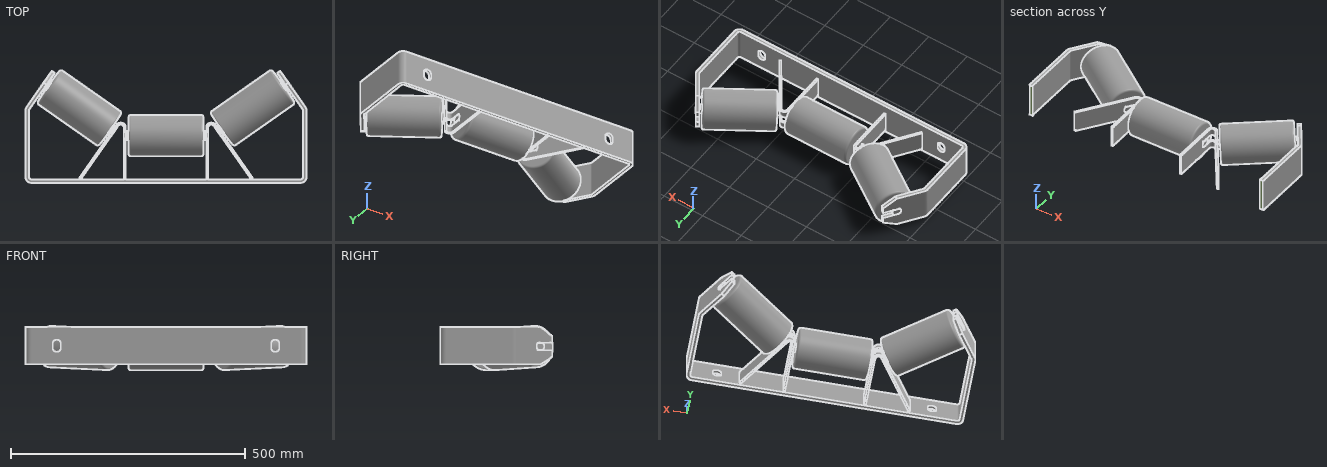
import cadquery as cq
import math

frame_width = 600.0
bar_height = 80.0
bar_thickness = 8.0
bar_bend_radius = 13.0
side_straight_end = 154.5
lean_length = 94.5
tip_chamfer_along = 31.0
tip_flat_height = 45.0

mount_slot_spacing = 466.0
mount_slot_width = 18.0
mount_slot_length = 26.0

strip_thickness = 4.5
strip_height = 50.0
strip_bend_radius = 11.0
fold_centre_y = 118.1
weld_bite = 0.3

trough_angle = 35.0
toe_angle = 2.25
roller_diameter = 89.0
roller_length = 160.0
roller_edge_radius = 5.0
shaft_diameter = 20.0
shaft_flat_width = 14.0
shoulder_gap = 1.3
centre_shaft_overhang = 0.5
face_distance = 85.5
centre_roller_y = 101.0
centre_roller_z = -8.2
side_roller_y = 160.31
side_roller_z = -4.83

shaft_slot_width = 16.0
slot_reach = 60.0
slot_margin = 1.0

lean_sin = math.sin(math.radians(trough_angle))
lean_cos = math.cos(math.radians(trough_angle))
half_width = frame_width / 2

fold_x = face_distance + strip_bend_radius
leg_offset = fold_x * lean_cos + fold_centre_y * lean_sin + strip_bend_radius
side_roller_x = (leg_offset + face_distance - side_roller_y * lean_sin) / lean_cos


def mirrored_pair(right):
    """The right-hand shape joined to its mirror image across the YZ plane."""
    return right.union(right.mirror("YZ"))


def placed(shape, side):
    """Move a roller-aligned shape to the side roller on side -1 (left) or +1 (right)."""
    return (
        shape.rotate((0, 0, 0), (0, 1, 0), -side * toe_angle)
        .rotate((0, 0, 0), (0, 0, 1), side * trough_angle)
        .translate((side * side_roller_x, side_roller_y, side_roller_z))
    )


def at_centre(shape):
    """Move a roller-aligned shape to the centre roller."""
    return shape.translate((0, centre_roller_y, centre_roller_z))


def roller():
    """Roller about the X axis with a shaft whose ends are flattened to enter the slots."""
    shoulder = face_distance - shoulder_gap
    shell = (
        cq.Workplane("YZ")
        .workplane(offset=-roller_length / 2)
        .circle(roller_diameter / 2)
        .extrude(roller_length)
        .edges()
        .fillet(roller_edge_radius)
    )
    shaft = cq.Workplane("YZ").workplane(offset=-shoulder).circle(shaft_diameter / 2).extrude(2 * shoulder)
    return shell.union(shaft)


def shaft_tongue(side, length):
    """Flattened shaft end that passes through a support by the given length."""
    start = side * (face_distance - shoulder_gap)
    run = side * (shoulder_gap + length)
    tongue = cq.Workplane("YZ").workplane(offset=start).circle(shaft_diameter / 2).extrude(run)
    flats = cq.Workplane("XY").box(4 * face_distance, shaft_diameter, shaft_flat_width)
    return tongue.intersect(flats)


def shaft_slot(side, depth):
    """Cutter for a slot open toward +Y, with a bottom rounded to the shaft."""
    start = side * (face_distance - slot_margin)
    run = side * (depth + slot_margin)
    plane = cq.Workplane("YZ").workplane(offset=start)
    bottom = plane.circle(shaft_diameter / 2).extrude(run)
    channel = plane.center(slot_reach / 2, 0).rect(slot_reach, 2 * slot_reach).extrude(run)
    band = cq.Workplane("XY").box(4 * face_distance, 4 * slot_reach, shaft_slot_width)
    return bottom.union(channel).intersect(band)


def bar_frame():
    """Bent bar with chamfered tips and mounting slots."""
    inner_radius = bar_bend_radius - bar_thickness
    bend_x = half_width - bar_bend_radius

    def bend_point(radius, centre_y, degrees):
        angle = math.radians(degrees)
        return (bend_x + radius * math.cos(angle), centre_y + radius * math.sin(angle))

    def tip(point):
        return (point[0] - lean_length * lean_sin, point[1] + lean_length * lean_cos)

    top_bend = side_straight_end
    outer_lean = bend_point(bar_bend_radius, top_bend, trough_angle)
    inner_lean = bend_point(inner_radius, top_bend, trough_angle)
    half = (
        cq.Workplane("XY")
        .workplane(offset=-bar_height / 2)
        .moveTo(0, 0)
        .lineTo(bend_x, 0)
        .threePointArc(bend_point(bar_bend_radius, bar_bend_radius, -45), (half_width, bar_bend_radius))
        .lineTo(half_width, top_bend)
        .threePointArc(bend_point(bar_bend_radius, top_bend, trough_angle / 2), outer_lean)
        .lineTo(*tip(outer_lean))
        .lineTo(*tip(inner_lean))
        .lineTo(*inner_lean)
        .threePointArc(
            bend_point(inner_radius, top_bend, trough_angle / 2),
            bend_point(inner_radius, top_bend, 0),
        )
        .lineTo(*bend_point(inner_radius, bar_bend_radius, 0))
        .threePointArc(
            bend_point(inner_radius, bar_bend_radius, -45),
            bend_point(inner_radius, bar_bend_radius, -90),
        )
        .lineTo(0, bar_thickness)
        .close()
        .extrude(bar_height)
    )

    tip_x, tip_y = tip(outer_lean)
    lean_plane = cq.Plane(
        origin=(tip_x, tip_y, 0),
        xDir=(-lean_sin, lean_cos, 0),
        normal=(lean_cos, lean_sin, 0),
    )
    tip_middle_z = side_roller_z + face_distance * math.sin(math.radians(toe_angle))
    for end in (-1, 1):
        flat_end = tip_middle_z + end * tip_flat_height / 2
        edge = end * bar_height / 2
        corner = (
            cq.Workplane(lean_plane)
            .polyline([(0, edge), (-tip_chamfer_along, edge), (0, flat_end)])
            .close()
            .extrude(2 * bar_thickness, both=True)
        )
        half = half.cut(corner)

    mount_slot = (
        cq.Workplane("XZ")
        .center(mount_slot_spacing / 2, 0)
        .slot2D(mount_slot_length, mount_slot_width, 90)
        .extrude(-bar_thickness)
    )
    return mirrored_pair(half.cut(mount_slot))


def right_bracket():
    """Folded strip: an upright leg beside the centre roller and a leg leaning with the side roller."""
    inner_radius = strip_bend_radius - strip_thickness
    base = bar_thickness - weld_bite

    def fold_point(radius, degrees):
        angle = math.radians(degrees)
        return (fold_x + radius * math.cos(angle), fold_centre_y + radius * math.sin(angle))

    outer_lean = fold_point(strip_bend_radius, trough_angle)
    inner_lean = fold_point(inner_radius, trough_angle)
    leg_length = (inner_lean[1] - base) / lean_cos

    def foot(point):
        return (point[0] + leg_length * lean_sin, point[1] - leg_length * lean_cos)

    return (
        cq.Workplane("XY")
        .workplane(offset=centre_roller_z - strip_height / 2)
        .moveTo(face_distance, base)
        .lineTo(face_distance, fold_centre_y)
        .threePointArc(fold_point(strip_bend_radius, 90), outer_lean)
        .lineTo(*foot(outer_lean))
        .lineTo(*foot(inner_lean))
        .lineTo(*inner_lean)
        .threePointArc(fold_point(inner_radius, 90), fold_point(inner_radius, 180))
        .lineTo(face_distance + strip_thickness, base)
        .close()
        .extrude(strip_height)
    )


fold_depth = strip_thickness + strip_bend_radius
bar_slot_depth = 2 * bar_thickness
frame = bar_frame().union(mirrored_pair(right_bracket()))
for side in (-1, 1):
    frame = frame.cut(at_centre(shaft_slot(side, fold_depth)))
    frame = frame.cut(placed(shaft_slot(side, bar_slot_depth), side))
    frame = frame.cut(placed(shaft_slot(-side, fold_depth), side))

centre_roller = roller()
for side in (-1, 1):
    centre_roller = centre_roller.union(shaft_tongue(side, strip_thickness + centre_shaft_overhang))
frame = frame.union(at_centre(centre_roller))

side_rollers = []
for side in (-1, 1):
    side_roller = roller()
    side_roller = side_roller.union(shaft_tongue(side, bar_thickness))
    side_roller = side_roller.union(shaft_tongue(-side, strip_thickness))
    side_rollers.append(placed(side_roller, side).solids().val())

result = cq.Compound.makeCompound([frame.solids().val(), *side_rollers])